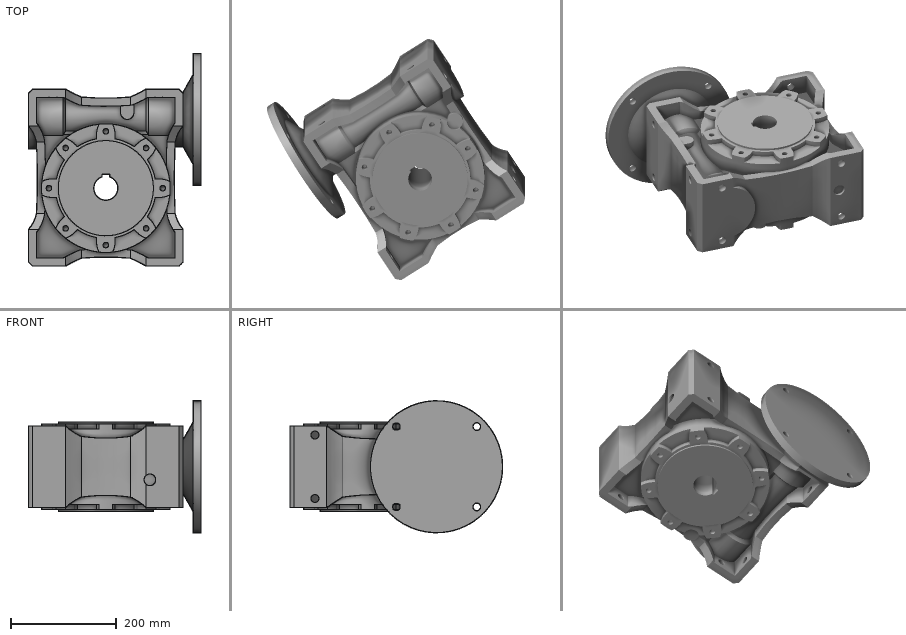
import cadquery as cq
import math


half_x = 146.25
half_y = 167.5
half_z = 77.5
body_center_y = 20.0
corner_chamfer = 8.0
wall = 15.6
floor_z = 40.0

crease_run = 30.0
side_mouth = 97.7
end_mouth = 76.2
plan_depth = 15.0
rim_depth = 20.2
side_plan_sag = 3.6
end_plan_sag = 0.9
side_rim_sag = 0.9
end_rim_sag = 4.2
side_plan_bow = 1.6
end_plan_bow = 2.1
side_rim_bow = 4.7
end_rim_bow = 3.2

worm_y = 130.0
bearing_radius = 50.0
casing_radius = 42.0
casing_half_length = 76.0
casing_cone_length = 5.0
floor_edge_y = 101.3
floor_slope = 30.0
blank_cap_radius = 56.25
flange_cap_radius = 52.0

drum_radius = 121.6
drum_z = 71.0
lug_top_z = 81.25
lug_ring_radius = 95.0
lug_count = 8
lug_root_width = 35.0
lug_tip_width = 25.0
lug_taper_start = 101.0
lug_circle_radius = 107.5
lug_hole_diameter = 10.5
lug_hole_depth = 20.0
drill_point_angle = 118
cover_radius = 90.0
cover_z = 85.0
bore_diameter = 45.0
keyway_width = 14.0
keyway_top_y = 26.0

mount_hole_diameter = 15.0
mount_hole_spacing_z = 120.0
side_mount_spacing_y = 240.0
end_mount_spacing_x = 200.0
plug_diameter = 22.0
plug_depth = 5.0
side_plug_y = -95.5
end_plug_x = 83.3
end_plug_z = -24.7

upper_boss_x = 40.4
upper_boss_y = 142.5
upper_boss_radius = 12.5
upper_boss_z = 52.5
lower_boss_x = -114.0
lower_boss_y = 54.4
lower_boss_radius = 15.0
lower_boss_z = -62.5

flange_radius = 125.0
flange_thickness = 15.0
flange_face_x = 180.0
flange_cone_radius = 85.0
flange_bolt_circle = 215.0
flange_hole_diameter = 14.0
flange_hole_count = 4


def scoop_profile(plane, mouth, depth, end_sag, bow):
    """Waisted notch opening toward +Y of the plane, its mouth on the local X axis."""
    crease = mouth - crease_run
    overshoot = depth
    chord = math.hypot(crease_run, depth)
    mid_x = (mouth + crease) / 2 - end_sag * depth / chord
    mid_y = -depth / 2 - end_sag * crease_run / chord
    return (
        cq.Workplane(plane)
        .moveTo(-mouth, overshoot)
        .lineTo(-mouth, 0)
        .threePointArc((-mid_x, mid_y), (-crease, -depth))
        .threePointArc((0, -depth - bow), (crease, -depth))
        .threePointArc((mid_x, mid_y), (mouth, 0))
        .lineTo(mouth, overshoot)
        .close()
    )


def scoop(origin, along, opening, length, *shape):
    """Scoop centered on origin, with its mouth running along one direction."""
    normal = cq.Vector(*along).cross(cq.Vector(*opening))
    plane = cq.Plane(origin=origin, xDir=along, normal=normal)
    return scoop_profile(plane, *shape).extrude(length / 2, both=True)


def x_cylinder(radius, start, end):
    return cq.Workplane("YZ", origin=(start, worm_y, 0)).circle(radius).extrude(end - start)


def make_block():
    """Chamfered block that bounds the housing walls."""
    return (
        cq.Workplane("XY")
        .box(2 * half_x, 2 * half_y, 2 * half_z)
        .edges("|Z")
        .chamfer(corner_chamfer)
        .translate((0, body_center_y, 0))
    )


def make_waisted_block(block):
    waisted = block
    for side in (-1, 1):
        waisted = waisted.cut(scoop(
            (side * half_x, body_center_y, 0), (0, 1, 0), (side, 0, 0), 2 * half_z,
            side_mouth, plan_depth, side_plan_sag, side_plan_bow))
        waisted = waisted.cut(scoop(
            (0, body_center_y + side * half_y, 0), (1, 0, 0), (0, side, 0), 2 * half_z,
            end_mouth, plan_depth, end_plan_sag, end_plan_bow))
    return waisted


def make_inset_prism(waisted, inset):
    """Full-height prism whose outline lies inside the outer walls by the inset."""
    outline = waisted.faces("<Z").wires().val()
    inset_outline = outline.offset2D(-inset, "intersection")[0]
    prism = cq.Solid.extrudeLinear(inset_outline, [], cq.Vector(0, 0, 2 * half_z))
    return cq.Workplane(prism)


def scoop_rims(frame):
    """Lower the middle of each wall, on the top and bottom rims."""
    for side in (-1, 1):
        frame = frame.cut(scoop(
            (0, body_center_y, side * half_z), (0, 1, 0), (0, 0, side), 2 * half_x,
            side_mouth, rim_depth, side_rim_sag, side_rim_bow))
        frame = frame.cut(scoop(
            (0, body_center_y, side * half_z), (1, 0, 0), (0, 0, side), 2 * half_y,
            end_mouth, rim_depth, end_rim_sag, end_rim_bow))
    return frame


def make_core(interior):
    """Solid web inside the walls, sloping down on both faces toward the worm casing."""
    slope_drop = (worm_y - floor_edge_y) * math.tan(math.radians(floor_slope))
    rear_y = body_center_y - half_y
    upper = [(rear_y, floor_z), (floor_edge_y, floor_z), (worm_y, floor_z - slope_drop)]
    lower = [(y, -z) for y, z in reversed(upper)]
    web = cq.Workplane("YZ").polyline(upper + lower).close().extrude(half_x, both=True)
    return web.intersect(interior)


def make_worm_casing(block):
    cone_end = casing_half_length + casing_cone_length
    profile = [
        (-half_x, 0), (-half_x, bearing_radius), (-cone_end, bearing_radius),
        (-casing_half_length, casing_radius), (casing_half_length, casing_radius),
        (cone_end, bearing_radius), (half_x, bearing_radius), (half_x, 0),
    ]
    barrel = (
        cq.Workplane("XY", origin=(0, worm_y, 0))
        .polyline(profile).close()
        .revolve(360, (0, 0, 0), (1, 0, 0))
    )
    blank_cap = x_cylinder(blank_cap_radius, -half_x, wall - half_x)
    flange_cap = x_cylinder(flange_cap_radius, half_x - wall, half_x)
    return blank_cap.union(flange_cap).intersect(block), barrel


def make_lug():
    """Radial lug along +X whose sides curve in toward its tip."""
    root = lug_root_width / 2
    tip = lug_tip_width / 2
    return (
        cq.Workplane("XY")
        .moveTo(0, root)
        .lineTo(lug_taper_start, root)
        .tangentArcPoint((drum_radius, tip), relative=False)
        .lineTo(drum_radius, 0)
        .lineTo(0, 0)
        .close()
        .extrude(lug_top_z, both=True)
        .mirror("XZ", union=True)
    )


def make_drum():
    drum = cq.Workplane("XY").circle(drum_radius).extrude(drum_z, both=True)
    lugs = cq.Workplane("XY").circle(lug_ring_radius).extrude(lug_top_z, both=True)
    lug = make_lug()
    for i in range(lug_count):
        lugs = lugs.union(lug.rotate((0, 0, 0), (0, 0, 1), i * 360 / lug_count))
    rim = cq.Workplane("XY").circle(drum_radius).extrude(lug_top_z, both=True)
    cover = cq.Workplane("XY").circle(cover_radius).extrude(cover_z, both=True)
    return drum.union(lugs.intersect(rim)).union(cover)


def make_lug_holes():
    """Blind holes with drilled points, from both drum faces."""
    radius = lug_hole_diameter / 2
    bottom_z = lug_top_z - lug_hole_depth
    point_z = bottom_z - radius / math.tan(math.radians(drill_point_angle / 2))
    profile = [(0, lug_top_z), (radius, lug_top_z), (radius, bottom_z), (0, point_z)]
    hole = cq.Workplane("XZ").polyline(profile).close().revolve(360, (0, 0, 0), (0, 1, 0))
    upper = hole.translate((lug_circle_radius, 0, 0))
    pair = upper.add(upper.mirror("XY"))
    holes = cq.Workplane("XY")
    for i in range(lug_count):
        holes = holes.add(pair.rotate((0, 0, 0), (0, 0, 1), i * 360 / lug_count))
    return holes.combine()


def make_bore():
    keyway = cq.Workplane("XY").box(
        keyway_width, keyway_top_y, 2 * cover_z, centered=(True, False, True))
    return cq.Workplane("XY").circle(bore_diameter / 2).extrude(cover_z, both=True).union(keyway)


def cut_wall_holes(housing):
    blank_side_holes = (
        cq.Workplane("YZ", origin=(-half_x, body_center_y, 0))
        .rarray(side_mount_spacing_y, mount_hole_spacing_z, 2, 2)
        .circle(mount_hole_diameter / 2).extrude(wall)
    )
    flange_side_holes = (
        cq.Workplane("YZ", origin=(half_x, body_center_y - side_mount_spacing_y / 2, 0))
        .rarray(1, mount_hole_spacing_z, 1, 2)
        .circle(mount_hole_diameter / 2).extrude(-wall)
    )
    end_holes = (
        cq.Workplane("XZ", origin=(0, body_center_y + half_y, 0))
        .rarray(end_mount_spacing_x, mount_hole_spacing_z, 2, 2)
        .circle(mount_hole_diameter / 2).extrude(wall)
    )
    side_plug = (
        cq.Workplane("YZ", origin=(-half_x, side_plug_y, 0))
        .circle(plug_diameter / 2).extrude(plug_depth)
    )
    end_plug = (
        cq.Workplane("XZ", origin=(end_plug_x, body_center_y - half_y, end_plug_z))
        .circle(plug_diameter / 2).extrude(-plug_depth)
    )
    return (
        housing
        .cut(blank_side_holes)
        .cut(flange_side_holes)
        .cut(end_holes)
        .cut(side_plug)
        .cut(end_plug)
    )


def make_upper_boss(interior):
    """Flat-topped pad on the worm casing, running back to the +Y wall."""
    pad = (
        cq.Workplane("XY", origin=(upper_boss_x, upper_boss_y, 0))
        .circle(upper_boss_radius).extrude(upper_boss_z)
        .union(cq.Workplane("XY", origin=(upper_boss_x, upper_boss_y, 0)).box(
            2 * upper_boss_radius, half_y, upper_boss_z, centered=(True, False, False)))
    )
    return pad.intersect(interior)


def lower_boss_cylinder(start_z, end_z):
    return (
        cq.Workplane("XY", origin=(lower_boss_x, lower_boss_y, start_z))
        .circle(lower_boss_radius).extrude(end_z - start_z)
    )


def make_housing():
    block = make_block()
    waisted = make_waisted_block(block)
    cavity = make_inset_prism(waisted, wall)
    interior = make_inset_prism(waisted, wall / 2)
    caps, barrel = make_worm_casing(block)
    housing = (
        scoop_rims(waisted.cut(cavity))
        .union(make_core(interior))
        .union(barrel.intersect(interior))
        .union(caps)
        .union(make_upper_boss(interior))
        .union(make_drum())
        .union(lower_boss_cylinder(lower_boss_z, 0))
        .cut(lower_boss_cylinder(-lug_top_z, lower_boss_z))
        .cut(make_lug_holes())
        .cut(make_bore())
    )
    return cut_wall_holes(housing)


def make_flange():
    """Plain disc on a cone that seats on the housing's +X face."""
    profile = [
        (half_x, 0), (half_x, flange_cap_radius),
        (flange_face_x - flange_thickness, flange_cone_radius),
        (flange_face_x - flange_thickness, flange_radius),
        (flange_face_x, flange_radius), (flange_face_x, 0),
    ]
    holes = (
        cq.Workplane("YZ", origin=(half_x, worm_y, 0))
        .polarArray(flange_bolt_circle / 2, 45, 360, flange_hole_count)
        .circle(flange_hole_diameter / 2)
        .extrude(flange_face_x - half_x)
    )
    return (
        cq.Workplane("XY", origin=(0, worm_y, 0))
        .polyline(profile).close()
        .revolve(360, (0, 0, 0), (1, 0, 0))
        .cut(holes)
    )


housing = make_housing()
flange = make_flange()
result = cq.Compound.makeCompound([housing.val(), flange.val()])